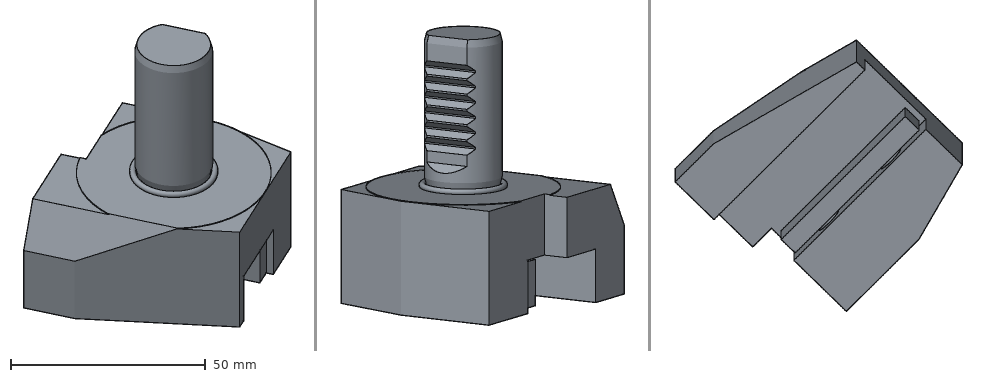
import cadquery as cq
import math

total_height = 70.0

short_side = 25.0
long_side = 30.0
seat_height = 29.95
seat_rise = 0.2
seat_radius = short_side
body_height = seat_height - seat_rise
corner_x = -23.2
corner_y = -2.0
taper_angle = 15.0
back_taper_x = 3.3
front_taper_x = -16.0

slope_angle = 60.0
slope_start = 18.0

slot_back = 6.0
slot_front = -16.0
slot_depth = 14.0

bar_thickness = 5.05
bar_height = 12.1
bar_setback = 1.5
bar_front = 0.0
screw_diameter = 7.0
screw_spacing_ratio = 0.5

shank_radius = 10.0
tip_length = 2.0
tip_angle = 15.0
neck_radius = 9.5
neck_top = 32.6
neck_bottom = 30.8

ring_diameter = 22.75
ring_thickness = 1.7
ring_top = 31.2

flat_y = 8.0
flat_start = 35.0
gap_count = 6
tooth_pitch = 4.0
tooth_depth = 1.55
root_width = 0.4
lowest_gap_z = 41.7


def taper_drop(length):
    return length * math.tan(math.radians(taper_angle))


def make_outline(plane_height):
    """Closed body outline seen along Z, placed at the given height."""
    return cq.Workplane("XY", origin=(0, 0, plane_height)).polyline([
        (-long_side, -long_side),
        (front_taper_x, -long_side),
        (short_side, -long_side + taper_drop(short_side - front_taper_x)),
        (short_side, short_side - taper_drop(short_side - back_taper_x)),
        (back_taper_x, short_side),
        (corner_x, short_side),
        (corner_x, corner_y),
        (-long_side, corner_y),
    ]).close()


def extrude_along_x(points):
    """Prism spanning the whole part in X with the given (Y, Z) section."""
    return cq.Workplane("YZ").polyline(points).close().extrude(long_side, both=True)


def make_body():
    block = make_outline(0).extrude(body_height)
    seat = cq.Workplane("XY").workplane(offset=body_height).circle(seat_radius).extrude(seat_rise)
    seat = seat.intersect(make_outline(body_height).extrude(seat_rise))
    body = block.union(seat)

    slope_run = (seat_height - slope_start) / math.tan(math.radians(slope_angle))
    slope = extrude_along_x([
        (-long_side, slope_start),
        (-long_side + slope_run, seat_height),
        (-long_side, seat_height),
    ])
    slot = extrude_along_x([
        (slot_front, 0),
        (slot_back, 0),
        (slot_back, slot_depth),
        (slot_front, slot_depth),
    ])
    return body.cut(slope).cut(slot)


def make_clamp():
    bar_left = corner_x + bar_setback
    bar_length = short_side - bar_setback - bar_left
    bar_middle_x = bar_left + bar_length / 2
    middle_z = slot_depth / 2
    bar = cq.Workplane("XY").box(bar_length, bar_thickness, bar_height)
    bar = bar.translate((bar_middle_x, bar_front + bar_thickness / 2, middle_z))
    half_spacing = bar_length * screw_spacing_ratio / 2
    screws = (
        cq.Workplane("XZ", origin=(bar_middle_x, slot_back, middle_z))
        .pushPoints([(-half_spacing, 0), (half_spacing, 0)])
        .circle(screw_diameter / 2)
        .extrude(slot_back - bar_front - bar_thickness)
    )
    return bar.union(screws)


def make_shank():
    tip_inset = tip_length * math.tan(math.radians(tip_angle))
    shank = (
        cq.Workplane("XZ")
        .polyline([
            (0, body_height),
            (neck_radius, body_height),
            (neck_radius, neck_bottom),
            (shank_radius, neck_top),
            (shank_radius, total_height - tip_length),
            (shank_radius - tip_inset, total_height),
            (0, total_height),
        ])
        .close()
        .revolve(360, (0, 0, 0), (0, 1, 0))
    )
    flat = extrude_along_x([
        (shank_radius, flat_start),
        (flat_y, flat_start + shank_radius - flat_y),
        (flat_y, total_height - tip_length),
        (flat_y - tip_inset, total_height),
        (shank_radius, total_height),
    ])
    shank = shank.cut(flat)

    root_y = flat_y - tooth_depth
    mouth_width = root_width + 2 * tooth_depth
    for index in range(gap_count):
        gap_z = lowest_gap_z + index * tooth_pitch
        shank = shank.cut(extrude_along_x([
            (root_y, gap_z - root_width / 2),
            (root_y, gap_z + root_width / 2),
            (flat_y, gap_z + mouth_width / 2),
            (flat_y, gap_z - mouth_width / 2),
        ]))
    return shank


def make_ring():
    tube_radius = ring_thickness / 2
    centre_radius = ring_diameter / 2 - tube_radius
    return (
        cq.Workplane("XZ")
        .center(centre_radius, ring_top - tube_radius)
        .circle(tube_radius)
        .revolve(360, (-centre_radius, 0, 0), (-centre_radius, 1, 0))
    )


result = make_body().union(make_clamp()).union(make_shank()).union(make_ring())